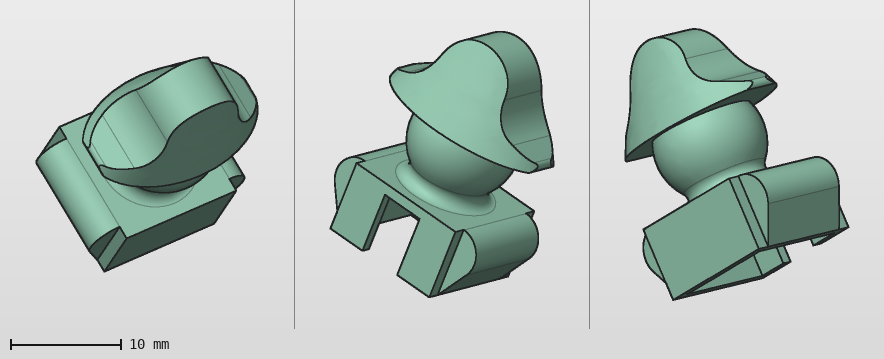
import cadquery as cq
import math

LEAN_ANGLE = 30

BASE_WIDTH = 12.17
BASE_HEIGHT = 7.0
WALL = 1.0
SLOT_WIDTH = 4.25

SHOULDER_LENGTH = 9.62
SHOULDER_RADIUS = 2.38
SHOULDER_SLOPE_ANGLE = 30

HEAD_RADIUS = 5.23
HEAD_CENTER_Z = 11.95
NECK_FLARE_RADIUS = 1.0

HAT_BOTTOM_Z = 14.02
HAT_TOP_Z = 22.55
BRIM_SEMI_X = 5.46
BRIM_SEMI_Y = 9.1
CROWN_SEMI_X = 2.4
CROWN_SEMI_Y = 4.82
CROWN_RADIUS = 3.97
CROWN_END_Z = 19.25
BRIM_SLOPE_TOP = (6.45, 15.95)
BRIM_SLOPE_END = (8.32, 14.92)
BRIM_TIP = (8.685, 14.47)
BRIM_BOTTOM_Y = 8.53


def make_base():
    block = cq.Workplane("XY").box(BASE_WIDTH, BASE_WIDTH, BASE_HEIGHT, centered=(True, True, False))
    inner_width = BASE_WIDTH - 2 * WALL
    cavity_height = BASE_HEIGHT - WALL
    cavity = cq.Workplane("XY").box(inner_width, inner_width, cavity_height, centered=(True, True, False))
    slot_length = BASE_WIDTH / 2
    slot = (
        cq.Workplane("XY")
        .box(slot_length, SLOT_WIDTH, cavity_height, centered=(True, True, False))
        .translate((-slot_length / 2, 0, 0))
    )
    return block.cut(cavity).cut(slot)


def make_shoulder():
    """Shoulder on the +Y side, with a flat running tangent from its round to the base."""
    side_y = BASE_WIDTH / 2
    inner_y = side_y - WALL / 2
    center_z = BASE_HEIGHT - SHOULDER_RADIUS
    slope = math.radians(SHOULDER_SLOPE_ANGLE)
    tangent_y = side_y + SHOULDER_RADIUS * math.cos(slope)
    tangent_z = center_z - SHOULDER_RADIUS * math.sin(slope)
    foot_z = max(0, tangent_z - (tangent_y - side_y) / math.tan(slope))
    return (
        cq.Workplane("YZ")
        .moveTo(inner_y, BASE_HEIGHT)
        .lineTo(side_y, BASE_HEIGHT)
        .threePointArc((side_y + SHOULDER_RADIUS, center_z), (tangent_y, tangent_z))
        .lineTo(side_y, foot_z)
        .lineTo(inner_y, foot_z)
        .close()
        .extrude(SHOULDER_LENGTH / 2, both=True)
    )


def make_head():
    """Ball and neck revolved together; the flare is tangent to the ball and the base top."""
    flare_z = BASE_HEIGHT + NECK_FLARE_RADIUS
    rise = HEAD_CENTER_Z - flare_z
    flare_x = math.sqrt((HEAD_RADIUS + NECK_FLARE_RADIUS) ** 2 - rise**2)
    ball_angle = math.atan2(-rise, flare_x)
    joint = (
        HEAD_RADIUS * math.cos(ball_angle),
        HEAD_CENTER_Z + HEAD_RADIUS * math.sin(ball_angle),
    )
    flare_angle = (-math.pi / 2 + ball_angle - math.pi) / 2
    flare_middle = (
        flare_x + NECK_FLARE_RADIUS * math.cos(flare_angle),
        flare_z + NECK_FLARE_RADIUS * math.sin(flare_angle),
    )
    root_z = BASE_HEIGHT - WALL / 2
    return (
        cq.Workplane("XZ")
        .moveTo(0, root_z)
        .lineTo(flare_x, root_z)
        .lineTo(flare_x, BASE_HEIGHT)
        .threePointArc(flare_middle, joint)
        .threePointArc((HEAD_RADIUS, HEAD_CENTER_Z), (0, HEAD_CENTER_Z + HEAD_RADIUS))
        .close()
        .revolve(360, (0, 0, 0), (0, 1, 0))
    )


def make_hat():
    crown_center_z = HAT_TOP_Z - CROWN_RADIUS
    crown_end_y = math.sqrt(CROWN_RADIUS**2 - (CROWN_END_Z - crown_center_z) ** 2)
    half_outline = (
        cq.Workplane("YZ")
        .moveTo(0, HAT_BOTTOM_Z)
        .lineTo(0, HAT_TOP_Z)
        .threePointArc(
            (CROWN_RADIUS * math.sin(math.pi / 4), crown_center_z + CROWN_RADIUS * math.cos(math.pi / 4)),
            (crown_end_y, CROWN_END_Z),
        )
        .tangentArcPoint(BRIM_SLOPE_TOP, relative=False)
        .lineTo(*BRIM_SLOPE_END)
        .threePointArc(BRIM_TIP, (BRIM_BOTTOM_Y, HAT_BOTTOM_Z))
        .close()
        .extrude(BRIM_SEMI_X, both=True)
    )
    outline = half_outline.union(half_outline.mirror("XZ"))
    body = (
        cq.Workplane("XY")
        .workplane(offset=HAT_BOTTOM_Z)
        .ellipse(BRIM_SEMI_X, BRIM_SEMI_Y)
        .workplane(offset=HAT_TOP_Z - HAT_BOTTOM_Z)
        .ellipse(CROWN_SEMI_X, CROWN_SEMI_Y)
        .loft(ruled=True)
    )
    return outline.intersect(body)


shoulder = make_shoulder()
figure = make_base().union(shoulder).union(shoulder.mirror("XZ")).union(make_head()).union(make_hat())
result = figure.rotate((0, 0, 0), (0, 1, 0), LEAN_ANGLE)